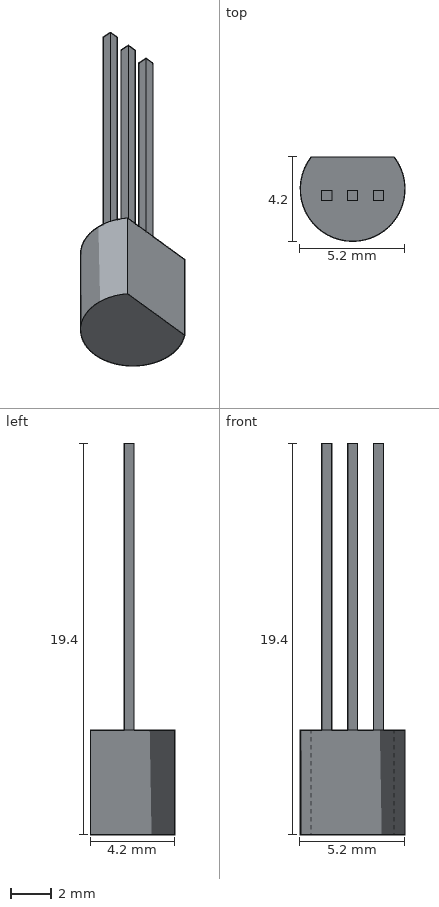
import cadquery as cq

body_diameter = 5.2
body_depth = 4.2
body_height = 5.2

total_height = 19.4
lead_width = 0.5
lead_pitch = 1.28
lead_count = 3
lead_offset_y = -0.33

body_radius = body_diameter / 2
flat_y = body_depth - body_radius
lead_length = total_height - body_height


def make_body():
    """Cylinder cut off by the flat on its +Y side."""
    cylinder = cq.Workplane("XY").circle(body_radius).extrude(body_height)
    envelope = (
        cq.Workplane("XY")
        .center(0, flat_y - body_depth / 2)
        .rect(body_diameter, body_depth)
        .extrude(body_height)
    )
    return cylinder.intersect(envelope)


def make_leads():
    """Row of square leads along X, starting on the top face of the body."""
    return (
        cq.Workplane("XY", origin=(0, lead_offset_y, body_height))
        .rarray(lead_pitch, 0.2, lead_count, 1)
        .rect(lead_width, lead_width)
        .extrude(lead_length)
    )


result = make_body().union(make_leads())